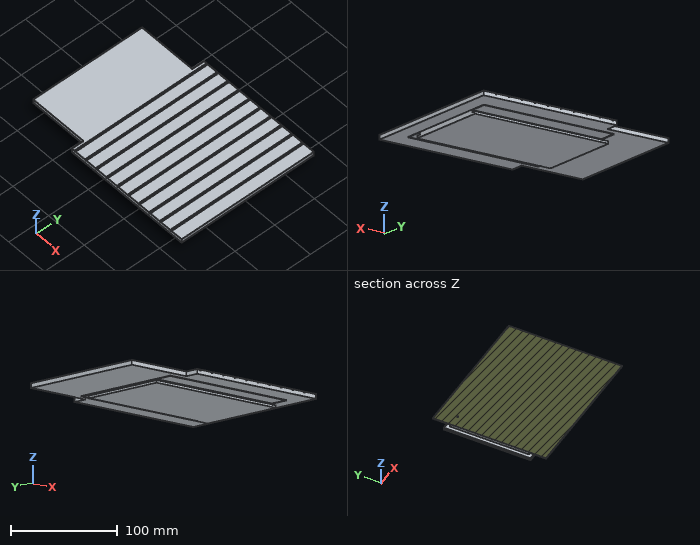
import cadquery as cq

overall_length = 225.0
board_width = 166.3
board_thickness = 4.7
tab_length = 70.6
tab_width = 137.0

groove_count = 10
groove_width = 1.98
groove_depth = groove_width / 2
first_groove_x = 75.2
last_groove_x = 210.0
groove_pitch = (last_groove_x - first_groove_x) / (groove_count - 1)

layer_end_x = 208.1
upper_layer_start_x = 57.5
bottom_layer_start_x = 53.5
backing_width = 120.8
backing_thickness = 0.5
spacer_width = 84.2
spacer_thickness = 2.2
bottom_width = 92.2
overall_height = 10.0
bottom_thickness = overall_height - board_thickness - backing_thickness - spacer_thickness


def slab(start_x, end_x, width, bottom_z, thickness):
    """Make a rectangular slab centred on the X axis."""
    return cq.Workplane("XY").box(
        end_x - start_x, width, thickness, centered=(False, True, False)
    ).translate((start_x, 0, bottom_z))


def groove(center_x):
    """Make a V-shaped cutter running across the full board width."""
    return (
        cq.Workplane("XZ")
        .moveTo(center_x - groove_width / 2, overall_height)
        .lineTo(center_x + groove_width / 2, overall_height)
        .lineTo(center_x, overall_height - groove_depth)
        .close()
        .extrude(board_width / 2, both=True)
    )


spacer_z = bottom_thickness
backing_z = spacer_z + spacer_thickness
board_z = backing_z + backing_thickness

result = slab(tab_length, overall_length, board_width, board_z, board_thickness)
result = result.union(slab(0, tab_length, tab_width, board_z, board_thickness))
for index in range(groove_count):
    result = result.cut(groove(first_groove_x + index * groove_pitch))

result = result.union(slab(upper_layer_start_x, layer_end_x, backing_width, backing_z, backing_thickness))
result = result.union(slab(upper_layer_start_x, layer_end_x, spacer_width, spacer_z, spacer_thickness))
result = result.union(slab(bottom_layer_start_x, layer_end_x, bottom_width, 0, bottom_thickness))